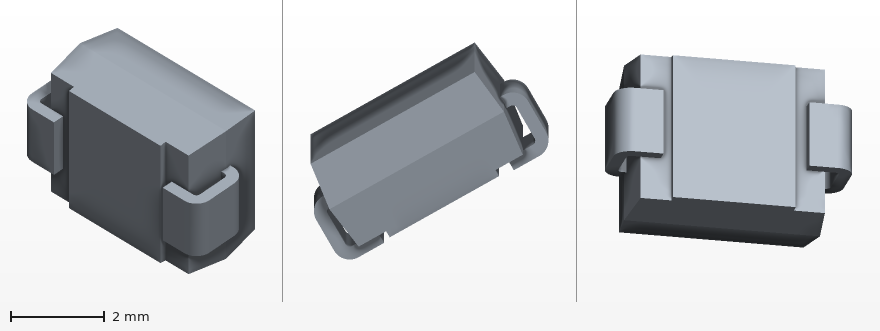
import cadquery as cq
import math

HOUSING_LENGTH = 4.295
HOUSING_WIDTH = 3.55
DRAFT_ANGLE = 7.0
TOP_HEIGHT = 1.04
STEP_DEPTH = 1.04
PAD_DEPTH = 1.195
PAD_LENGTH = 2.69

BAND_WIDTH = 0.39
BAND_THICKNESS = 0.045
BAND_EDGE_GAP = 0.18

LEAD_SPAN = 5.22
OVERALL_HEIGHT = 2.43
LEAD_THICKNESS = 0.28
LEAD_WIDTH = 1.455
LEAD_FOOT_LENGTH = 1.015
BEND_OUTER_RADIUS = 0.38
BEND_INNER_RADIUS = BEND_OUTER_RADIUS - LEAD_THICKNESS

TOP_FACE_HALF_LENGTH = HOUSING_LENGTH / 2 - TOP_HEIGHT * math.tan(math.radians(DRAFT_ANGLE))
LEAD_UPPER_Y = LEAD_THICKNESS / 2
LEAD_LOWER_Y = TOP_HEIGHT - OVERALL_HEIGHT


def box_between(x_min, x_max, y_min, y_max, width):
    """Box with the given X and Y limits, centred on Z = 0."""
    return (
        cq.Workplane("XY")
        .box(x_max - x_min, y_max - y_min, width)
        .translate(((x_min + x_max) / 2, (y_min + y_max) / 2, 0))
    )


def drafted_half(depth):
    """Half of the moulding from the parting plane towards -Y."""
    return (
        cq.Workplane("XZ")
        .rect(HOUSING_LENGTH, HOUSING_WIDTH)
        .extrude(depth, taper=DRAFT_ANGLE)
    )


def make_moulding():
    """Full moulding, with a central pad standing below the stepped ends."""
    upper = drafted_half(TOP_HEIGHT).mirror("XZ")
    lower = drafted_half(PAD_DEPTH)
    for x_min, x_max in (
        (-HOUSING_LENGTH / 2, -PAD_LENGTH / 2),
        (PAD_LENGTH / 2, HOUSING_LENGTH / 2),
    ):
        lower = lower.cut(box_between(x_min, x_max, -PAD_DEPTH, -STEP_DEPTH, HOUSING_WIDTH))
    return upper.union(lower)


def make_band(moulding):
    """Band across the top face, its ends following the drafted sides."""
    x_min = -TOP_FACE_HALF_LENGTH + BAND_EDGE_GAP
    strip = box_between(
        x_min, x_min + BAND_WIDTH, TOP_HEIGHT - BAND_THICKNESS, TOP_HEIGHT, HOUSING_WIDTH
    )
    return moulding.intersect(strip)


def make_lead(side, moulding):
    """Lead on the given side (-1 or +1), ending against the housing wall."""
    outer_x = LEAD_SPAN / 2
    foot_x = outer_x - LEAD_FOOT_LENGTH
    outer = (
        box_between(foot_x, outer_x, LEAD_LOWER_Y, LEAD_UPPER_Y, LEAD_WIDTH)
        .edges("|Z and >X")
        .fillet(BEND_OUTER_RADIUS)
    )
    opening = (
        box_between(
            foot_x,
            outer_x - LEAD_THICKNESS,
            LEAD_LOWER_Y + LEAD_THICKNESS,
            LEAD_UPPER_Y - LEAD_THICKNESS,
            LEAD_WIDTH,
        )
        .edges("|Z and >X")
        .fillet(BEND_INNER_RADIUS)
    )
    lead = outer.cut(opening)
    if side < 0:
        lead = lead.mirror("YZ")
    return lead.cut(moulding)


moulding = make_moulding()
band = make_band(moulding)
housing = moulding.cut(band)
leads = [make_lead(side, moulding) for side in (-1, 1)]

result = cq.Compound.makeCompound(
    [body.solids().val() for body in (housing, band, *leads)]
)